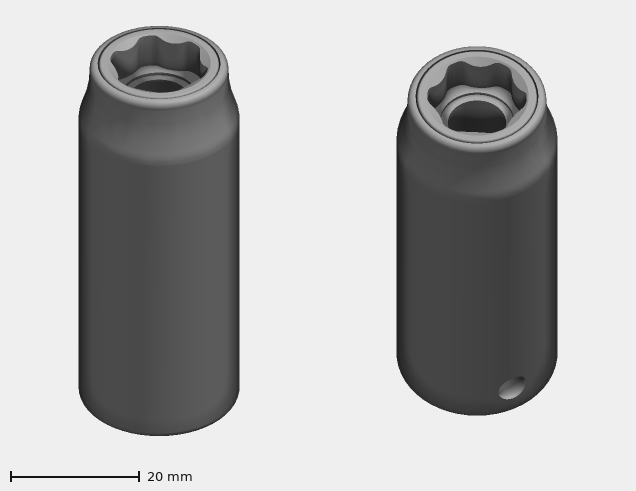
import cadquery as cq
import math

length = 62.7
sleeve_diameter = 25.0
sleeve_radius = sleeve_diameter / 2
seat_radius = 9.5

sleeve_top_z = 62.6
neck_radius = 10.8
shoulder_start_z = 52.0
shoulder_bend_z = 53.9
shoulder_end_z = 61.2
sleeve_round = 1.0

nose_radius = 9.3
nose_taper_length = 2.5
nose_round = 0.4

lobe_count = 6
lobe_tip_radius = 6.65
lobe_curve_radius = 5.75
recess_radius = 7.7
recess_corner_radius = 1.55
recess_depth = 5.9
lead_in_radius = 8.0
lead_in_angle = 30.0
step_radius = 5.7
step_depth = 0.5
bore_radius = 4.5

cross_hole_diameter = 4.8
cross_hole_z = 5.7
cut_overshoot = 0.6


def cylinder_down(radius, top_z, depth):
    """Vertical cylinder that hangs down from top_z."""
    return cq.Workplane("XY").workplane(offset=top_z).circle(radius).extrude(-depth)


def make_cross_hole():
    """Radial cutter from the axis out through the +Y side."""
    return (
        cq.Workplane("XZ")
        .center(0, cross_hole_z)
        .circle(cross_hole_diameter / 2)
        .extrude(-(sleeve_radius + cut_overshoot))
    )


def make_sleeve():
    """Tube around the socket; the inflection of the shoulder lies on its chord."""
    bend_share = (shoulder_bend_z - shoulder_start_z) / (shoulder_end_z - shoulder_start_z)
    bend_radius = sleeve_radius - bend_share * (sleeve_radius - neck_radius)
    body = (
        cq.Workplane("XZ")
        .moveTo(seat_radius, 0)
        .lineTo(sleeve_radius, 0)
        .lineTo(sleeve_radius, shoulder_start_z)
        .tangentArcPoint((bend_radius, shoulder_bend_z), relative=False)
        .tangentArcPoint((neck_radius, shoulder_end_z), relative=False)
        .lineTo(neck_radius, sleeve_top_z)
        .lineTo(seat_radius, sleeve_top_z)
        .close()
        .revolve(360, (0, 0, 0), (0, 1, 0))
    )
    outer_rim = cq.selectors.RadiusNthSelector(-1)
    body = body.faces(">Z").edges(outer_rim).fillet(sleeve_round)
    body = body.faces("<Z").edges(outer_rim).fillet(sleeve_round)
    return body.cut(make_cross_hole())


def make_lobed_recess():
    """Round recess with convex lobes standing into it and rounded corners between them."""
    lobes = (
        cq.Workplane("XY")
        .workplane(offset=length)
        .polarArray(lobe_tip_radius + lobe_curve_radius, 0, 360, lobe_count)
        .circle(lobe_curve_radius)
        .extrude(-recess_depth)
    )
    recess = cylinder_down(recess_radius, length, recess_depth).cut(lobes)
    return recess.edges("|Z").fillet(recess_corner_radius)


def make_lead_in():
    """Conical countersink at the mouth of the recess."""
    cone_depth = lead_in_radius * math.tan(math.radians(lead_in_angle))
    return (
        cq.Workplane("XZ")
        .moveTo(0, length)
        .lineTo(lead_in_radius, length)
        .lineTo(0, length - cone_depth)
        .close()
        .revolve(360, (0, 0, 0), (0, 1, 0))
    )


def make_socket():
    """Solid core of the tool with its stepped through opening."""
    body = (
        cq.Workplane("XZ")
        .lineTo(seat_radius, 0)
        .lineTo(seat_radius, length - nose_taper_length)
        .lineTo(nose_radius, length)
        .lineTo(0, length)
        .close()
        .revolve(360, (0, 0, 0), (0, 1, 0))
    )
    body = body.faces(">Z").edges().fillet(nose_round)
    body = body.cut(make_lead_in())
    body = body.cut(make_lobed_recess())
    body = body.cut(cylinder_down(step_radius, length - recess_depth, step_depth))
    body = body.cut(cylinder_down(bore_radius, length, length))
    return body.cut(make_cross_hole())


sleeve = make_sleeve()
socket = make_socket()

result = cq.Compound.makeCompound([sleeve.val(), socket.val()])